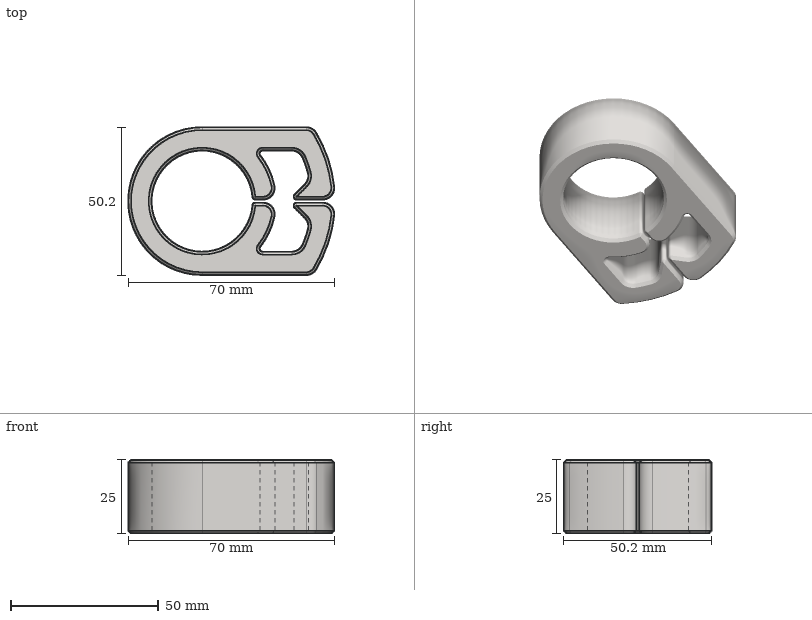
import math

import cadquery as cq

HEIGHT = 25.0
WALL = 8.0
BORE_RADIUS = 17.125
REACH = 20.0
GAP = 1.0
THROAT = 4.0
JAW_ANGLE = 45.0
LARGE_FILLET = 4.0
SMALL_FILLET = 1.0
EDGE_CHAMFER = 0.999
SEARCH_SIZE = 0.05

COLLAR_RADIUS = BORE_RADIUS + WALL
FRONT_RADIUS = COLLAR_RADIUS + REACH
POCKET_RADIUS = FRONT_RADIUS - WALL
POCKET_HALF_WIDTH = COLLAR_RADIUS - WALL
JAW_TIP_X = COLLAR_RADIUS + THROAT
HALF_GAP = GAP / 2


def at_height(radius, y):
    """Point of an origin-centred circle at the given y, on the +X side."""
    return (math.sqrt(radius**2 - y**2), y)


def at_angle(radius, angle):
    """Point of an origin-centred circle at the given angle in radians."""
    return (radius * math.cos(angle), radius * math.sin(angle))


def between(start, end, radius):
    """Point of an origin-centred circle midway between two of its points."""
    start_angle = math.atan2(start[1], start[0])
    end_angle = math.atan2(end[1], end[0])
    return at_angle(radius, (start_angle + end_angle) / 2)


flank_slope = math.radians(JAW_ANGLE)
flank_end_angle = flank_slope - math.asin(JAW_TIP_X * math.sin(flank_slope) / POCKET_RADIUS)
jaw_back = at_angle(POCKET_RADIUS, flank_end_angle)
jaw_tip = (JAW_TIP_X + HALF_GAP / math.tan(flank_slope), HALF_GAP)
jaw_front = at_height(FRONT_RADIUS, HALF_GAP)
shoulder = at_height(FRONT_RADIUS, COLLAR_RADIUS)
pocket_inner = at_height(COLLAR_RADIUS, POCKET_HALF_WIDTH)
pocket_outer = at_height(POCKET_RADIUS, POCKET_HALF_WIDTH)
arm_outer = at_height(COLLAR_RADIUS, HALF_GAP)
arm_inner = at_height(BORE_RADIUS, HALF_GAP)


def make_block():
    """Round-backed block with a convex front face."""
    return (
        cq.Workplane("XY")
        .moveTo(0, COLLAR_RADIUS)
        .lineTo(*shoulder)
        .threePointArc((FRONT_RADIUS, 0), (shoulder[0], -shoulder[1]))
        .lineTo(0, -COLLAR_RADIUS)
        .threePointArc((-COLLAR_RADIUS, 0), (0, COLLAR_RADIUS))
        .close()
        .extrude(HEIGHT)
    )


def make_bore():
    return cq.Workplane("XY").circle(BORE_RADIUS).extrude(HEIGHT)


def make_slit():
    """Slit from the bore out through the front face."""
    return cq.Workplane("XY").box(FRONT_RADIUS, GAP, HEIGHT, centered=(False, True, False))


def make_pocket():
    """Pocket between the bore wall and the jaws, mirrored across the slit."""
    half = (
        cq.Workplane("XY")
        .moveTo(COLLAR_RADIUS, 0)
        .threePointArc(between((COLLAR_RADIUS, 0), pocket_inner, COLLAR_RADIUS), pocket_inner)
        .lineTo(*pocket_outer)
        .threePointArc(between(pocket_outer, jaw_back, POCKET_RADIUS), jaw_back)
        .lineTo(JAW_TIP_X, 0)
        .close()
        .extrude(HEIGHT)
    )
    return half.union(half.mirror("XZ"))


def round_corners(body, corners, radius):
    """Fillet the upright edges at the given corners and at their mirror images."""
    for x, y in corners:
        for side in (1, -1):
            corner_box = cq.selectors.BoxSelector(
                (x - SEARCH_SIZE, side * y - SEARCH_SIZE, 0),
                (x + SEARCH_SIZE, side * y + SEARCH_SIZE, HEIGHT),
            )
            body = body.edges("|Z").edges(corner_box).fillet(radius)
    return body


def chamfer_rims(body):
    """Chamfer every edge of the top and bottom faces."""
    return body.faces("<Z or >Z").edges().chamfer(EDGE_CHAMFER)


clamp = make_block().cut(make_bore()).cut(make_slit()).cut(make_pocket())
clamp = round_corners(clamp, [shoulder, jaw_front, jaw_back, pocket_outer, arm_outer], LARGE_FILLET)
clamp = round_corners(clamp, [pocket_inner, jaw_tip, arm_inner], SMALL_FILLET)
result = chamfer_rims(clamp)